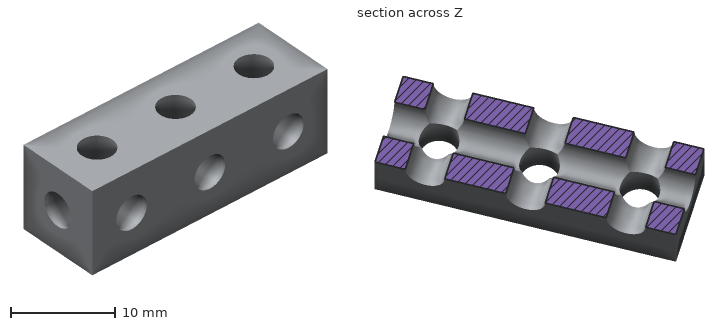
import cadquery as cq

pitch = 10.0
hole_count = 3
hole_diameter = 3.9
length = hole_count * pitch


def hole(direction, depth, center=(0, 0, 0)):
    """Cylinder of the given depth along direction, centred on center."""
    axis = cq.Vector(*direction)
    start = cq.Vector(*center) - axis * (depth / 2)
    return cq.Workplane(obj=cq.Solid.makeCylinder(hole_diameter / 2, depth, start, axis))


result = cq.Workplane("XY").box(pitch, length, pitch)

result = result.cut(hole((0, 1, 0), length))

for index in range(hole_count):
    hole_y = (index - (hole_count - 1) / 2) * pitch
    for direction in ((1, 0, 0), (0, 0, 1)):
        result = result.cut(hole(direction, pitch, (0, hole_y, 0)))